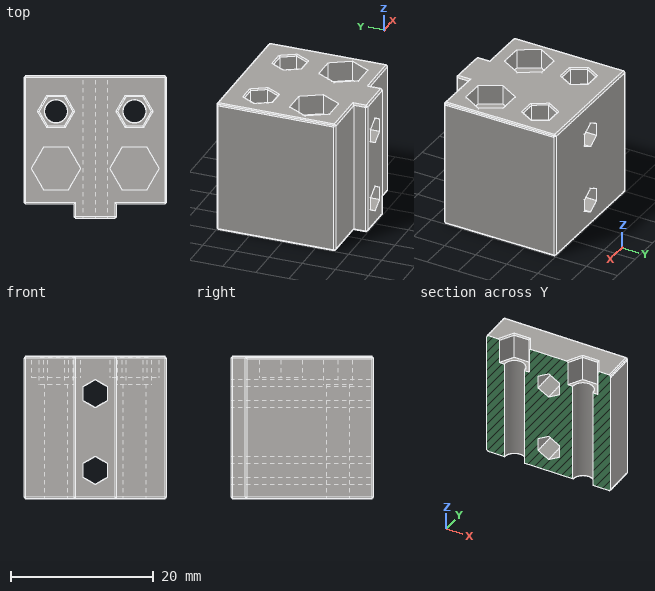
import cadquery as cq
import math

size = 20.0
tongue_width = 6.0
tongue_depth = 2.0
edge_chamfer = 0.25
side_bevel = 0.12

hex_sides = 6
quarter_turn = 90.0

column_x = 5.5

screw_y = 5.0
screw_diameter = 3.2
nut_pocket_flats = 4.1
nut_pocket_depth = 4.0
nut_chamfer = 0.2

large_pocket_y = -3.0
large_pocket_flats = 6.0
large_pocket_depth = 3.0

channel_corners = 3.9
channel_heights = (-6.0, 4.75)

half = size / 2
step_y = -half + tongue_depth


def corner_diameter(flats):
    """Diameter across the corners of a hexagon with this width across flats."""
    return flats / math.cos(math.pi / hex_sides)


def make_body():
    """Block and tongue with every edge chamfered except the inner corners beside the tongue."""
    block = cq.Workplane("XY").box(size, size - tongue_depth, size).translate((0, tongue_depth / 2, 0))
    tongue = cq.Workplane("XY").box(tongue_width, size, size)
    body = block.union(tongue)
    inner_corners = cq.selectors.BoxSelector(
        (-tongue_width, step_y - edge_chamfer, -edge_chamfer),
        (tongue_width, step_y + edge_chamfer, edge_chamfer),
    )
    outer_edges = cq.selectors.SubtractSelector(cq.selectors.Selector(), inner_corners)
    return body.edges(outer_edges).chamfer(edge_chamfer)


def bevel_sides(body):
    """Bevel the lower edge of the top chamfer along both X sides."""
    for side in ("<X", ">X"):
        body = body.faces(side).edges(">Z").chamfer(side_bevel)
    return body


def hex_pocket(x, y, flats, depth):
    """Hexagonal prism sunk from the top face, with corners pointing along X."""
    top = cq.Workplane("XY", origin=(x, y, half))
    return top.polygon(hex_sides, corner_diameter(flats)).extrude(-depth)


def nut_pocket_lead_in(x, y):
    """Tapered hexagonal mouth of a nut pocket."""
    mouth = cq.Workplane("XY", origin=(x, y, half))
    mouth = mouth.polygon(hex_sides, corner_diameter(nut_pocket_flats + 2 * nut_chamfer))
    throat = mouth.workplane(offset=-nut_chamfer)
    return throat.polygon(hex_sides, corner_diameter(nut_pocket_flats)).loft(combine=True)


def screw_hole(x, y):
    """Round hole through the full height."""
    return cq.Workplane("XY", origin=(x, y, -half)).circle(screw_diameter / 2).extrude(size)


def hex_channel(z):
    """Hexagonal channel along Y, with corners pointing along Z."""
    front = cq.Workplane("XZ", origin=(0, -half, z))
    return front.transformed(rotate=(0, 0, quarter_turn)).polygon(hex_sides, channel_corners).extrude(-size)


result = bevel_sides(make_body())
for x in (-column_x, column_x):
    result = result.cut(screw_hole(x, screw_y))
    result = result.cut(hex_pocket(x, screw_y, nut_pocket_flats, nut_pocket_depth))
    result = result.cut(nut_pocket_lead_in(x, screw_y))
    result = result.cut(hex_pocket(x, large_pocket_y, large_pocket_flats, large_pocket_depth))
for z in channel_heights:
    result = result.cut(hex_channel(z))